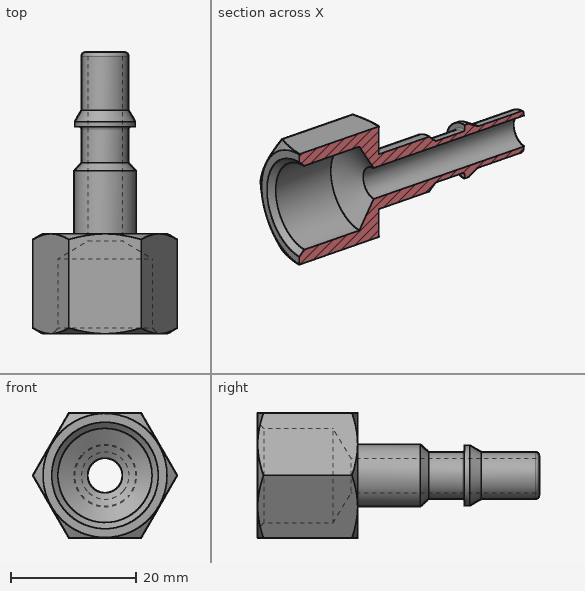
import cadquery as cq
import math

across_flats = 20.0
across_corners = across_flats / math.cos(math.radians(30))
hex_length = 16.0
hex_chamfer_angle = 30
hex_face_diameter = 19.8

total_length = 45.0
body_diameter = 10.0
body_end = 26.0
neck_diameter = 7.55
neck_start = 27.3
collar_diameter = 9.7
collar_start = 33.05
collar_width = 0.85
collar_cone_end = 35.75
collar_root_radius = 0.25
tip_radius = 0.68

bore_diameter = 15.05
bore_mouth_diameter = 17.0
bore_depth = 12.0
bore_tip_angle = 118
passage_diameter = 5.5


def revolve_about_y(outline):
    return outline.close().revolve(360, (0, 0, 0), (0, 1, 0))


def arc_inset(radius):
    """Inset, along each side of a square corner, of the middle of its rounding arc."""
    return radius * (1 - math.sqrt(0.5))


def make_hexagon():
    """Hexagonal prism with both ends turned to a shallow cone at the corners."""
    prism = (
        cq.Workplane("XZ")
        .polygon(6, across_corners)
        .extrude(-hex_length)
    )
    face_radius = hex_face_diameter / 2
    rim_radius = across_corners / 2 + 0.45
    drop = (rim_radius - face_radius) * math.tan(math.radians(hex_chamfer_angle))
    envelope = revolve_about_y(
        cq.Workplane("XY")
        .moveTo(0, 0)
        .lineTo(face_radius, 0)
        .lineTo(rim_radius, drop)
        .lineTo(rim_radius, hex_length - drop)
        .lineTo(face_radius, hex_length)
        .lineTo(0, hex_length)
    )
    return prism.intersect(envelope)


def make_stem():
    """Turned stem with a tapered shoulder and a locking collar."""
    body_radius = body_diameter / 2
    neck_radius = neck_diameter / 2
    collar_radius = collar_diameter / 2
    stem_root = (bore_depth + hex_length) / 2
    root_offset = arc_inset(collar_root_radius)
    tip_offset = arc_inset(tip_radius)
    return revolve_about_y(
        cq.Workplane("XY")
        .moveTo(0, stem_root)
        .lineTo(body_radius, stem_root)
        .lineTo(body_radius, body_end)
        .lineTo(neck_radius, neck_start)
        .lineTo(neck_radius, collar_start - collar_root_radius)
        .threePointArc(
            (neck_radius + root_offset, collar_start - root_offset),
            (neck_radius + collar_root_radius, collar_start),
        )
        .lineTo(collar_radius, collar_start)
        .lineTo(collar_radius, collar_start + collar_width)
        .lineTo(neck_radius, collar_cone_end)
        .lineTo(neck_radius, total_length - tip_radius)
        .threePointArc(
            (neck_radius - tip_offset, total_length - tip_offset),
            (neck_radius - tip_radius, total_length),
        )
        .lineTo(0, total_length)
    )


def make_bore():
    """Chamfered blind bore with a drill-point bottom, leading into the through passage."""
    mouth_radius = bore_mouth_diameter / 2
    bore_radius = bore_diameter / 2
    passage_radius = passage_diameter / 2
    mouth_depth = mouth_radius - bore_radius
    half_angle = math.radians(bore_tip_angle / 2)
    tip_depth = (bore_radius - passage_radius) / math.tan(half_angle)
    return revolve_about_y(
        cq.Workplane("XY")
        .moveTo(0, 0)
        .lineTo(mouth_radius, 0)
        .lineTo(bore_radius, mouth_depth)
        .lineTo(bore_radius, bore_depth)
        .lineTo(passage_radius, bore_depth + tip_depth)
        .lineTo(passage_radius, total_length)
        .lineTo(0, total_length)
    )


result = make_hexagon().union(make_stem()).cut(make_bore())